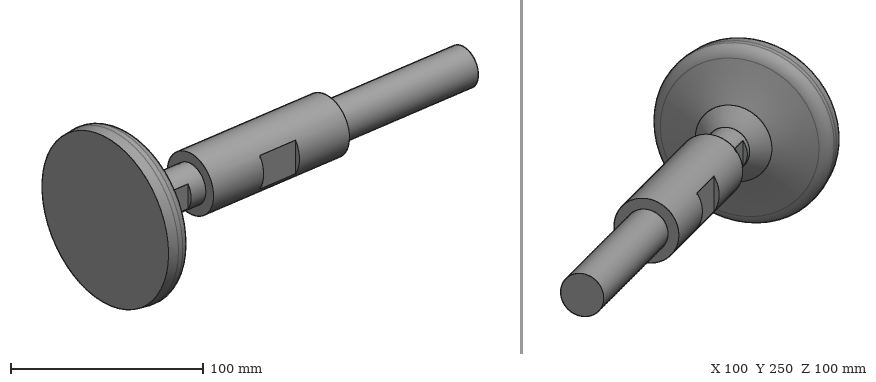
import cadquery as cq

total_length = 250.0
sole_y = -total_length / 2

spindle_radius = 12.0
spindle_flat_start = 36.8
spindle_flat_length = 12.5
spindle_across_flats = 19.0

sleeve_radius = 18.0
sleeve_start = 59.5
sleeve_length = 95.0
sleeve_flat_length = 25.0
sleeve_across_flats = 30.0

sole_radius = 49.2
rim_radius = 50.0
rim_bottom = 6.2
rim_top = 9.2
shoulder_radius = 44.0
shoulder_height = 16.0
shoulder_bulge_radius = 48.0
shoulder_bulge_height = 13.2
dome_radius = 21.2
dome_base = 25.0
dome_bulge_radius = 17.0
dome_bulge_height = 29.5
neck_height = 33.2
skirt_sag_radius = 32.0
skirt_sag_height = 20.2


def cylinder_along_y(radius, start, length):
    """Cylinder on the Y axis, starting at a distance above the sole."""
    base = cq.Plane(origin=(0, sole_y + start, 0), xDir=(1, 0, 0), normal=(0, 1, 0))
    return cq.Workplane(base).circle(radius).extrude(length)


def cut_wrench_flats(body, radius, start, length, across_flats):
    """Cut a flat into the -X and +X sides of a round body."""
    for side in (-1, 1):
        cutter = (
            cq.Workplane("XY")
            .box(radius, length, 2 * radius)
            .translate((side * (across_flats + radius) / 2, sole_y + start + length / 2, 0))
        )
        body = body.cut(cutter)
    return body


def make_foot():
    """Round foot: rim, rounded shoulder, concave skirt and domed neck."""
    return (
        cq.Workplane("XY")
        .lineTo(sole_radius, 0)
        .lineTo(rim_radius, rim_bottom)
        .lineTo(rim_radius, rim_top)
        .threePointArc((shoulder_bulge_radius, shoulder_bulge_height), (shoulder_radius, shoulder_height))
        .threePointArc((skirt_sag_radius, skirt_sag_height), (dome_radius, dome_base))
        .threePointArc((dome_bulge_radius, dome_bulge_height), (spindle_radius, neck_height))
        .lineTo(0, neck_height)
        .close()
        .revolve(360, (0, 0, 0), (0, 1, 0))
        .translate((0, sole_y, 0))
    )


def make_footed_spindle():
    """Spindle and foot in one piece."""
    spindle = cylinder_along_y(spindle_radius, neck_height, total_length - neck_height)
    spindle = cut_wrench_flats(
        spindle, spindle_radius, spindle_flat_start, spindle_flat_length, spindle_across_flats
    )
    return make_foot().union(spindle)


def make_sleeve():
    """Tube that fits closely around the spindle."""
    sleeve = cylinder_along_y(sleeve_radius, sleeve_start, sleeve_length)
    flat_start = sleeve_start + (sleeve_length - sleeve_flat_length) / 2
    sleeve = cut_wrench_flats(sleeve, sleeve_radius, flat_start, sleeve_flat_length, sleeve_across_flats)
    bore = cylinder_along_y(spindle_radius, sleeve_start, sleeve_length)
    return sleeve.cut(bore)


footed_spindle = make_footed_spindle()
sleeve = make_sleeve()

result = cq.Compound.makeCompound([footed_spindle.val(), sleeve.val()])